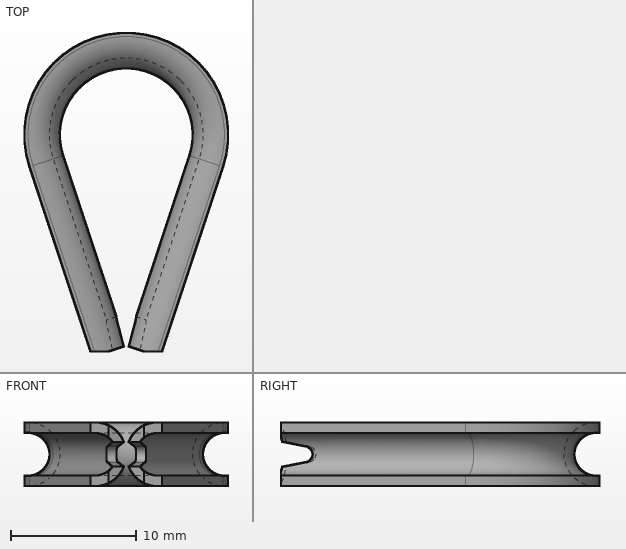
import cadquery as cq
import math

LENGTH = 25.5
BEND_RADIUS = 8.15
LEG_ANGLE = 18.3
HALF_HEIGHT = 2.55
GROOVE_RADIUS = 1.7
RIM_WIDTH = 0.3

FLAT_TIP_X = 1.43
NOTCH_DEPTH = 2.45
NOTCH_END_RADIUS = 0.65
NOTCH_MOUTH_HALF = 1.0

TIP_Y = BEND_RADIUS - LENGTH
LEAN = math.radians(LEG_ANGLE)
LEG_LENGTH = -TIP_Y * math.cos(LEAN) - FLAT_TIP_X * math.sin(LEAN)
OVERRUN = 2.05
CUT_SIZE = 4 * LENGTH


def channel_profile(plane):
    """C-shaped section; local X is the distance from the bend axis."""
    round_center = BEND_RADIUS - RIM_WIDTH
    return (
        cq.Workplane(plane)
        .moveTo(BEND_RADIUS, HALF_HEIGHT)
        .lineTo(round_center, HALF_HEIGHT)
        .threePointArc((round_center - HALF_HEIGHT, 0), (round_center, -HALF_HEIGHT))
        .lineTo(BEND_RADIUS, -HALF_HEIGHT)
        .lineTo(BEND_RADIUS, -GROOVE_RADIUS)
        .lineTo(round_center, -GROOVE_RADIUS)
        .threePointArc((round_center - GROOVE_RADIUS, 0), (round_center, GROOVE_RADIUS))
        .lineTo(BEND_RADIUS, GROOVE_RADIUS)
        .close()
    )


def make_bend():
    """Upper loop, running past the half circle by the leg angle on each side."""
    bend = channel_profile("XZ").revolve(180 + 2 * LEG_ANGLE, (0, 0), (0, 1))
    return bend.rotate((0, 0, 0), (0, 0, 1), -LEG_ANGLE)


def notch():
    """Tapered, round-ended notch for a leg that points along -Y."""
    arc_center_y = -LEG_LENGTH + NOTCH_DEPTH - NOTCH_END_RADIUS
    mouth_y = -LEG_LENGTH - OVERRUN
    slope = (NOTCH_MOUTH_HALF - NOTCH_END_RADIUS) / (NOTCH_DEPTH - NOTCH_END_RADIUS)
    mouth_half = NOTCH_MOUTH_HALF + slope * OVERRUN
    return (
        cq.Workplane("YZ")
        .moveTo(mouth_y, mouth_half)
        .lineTo(arc_center_y, NOTCH_END_RADIUS)
        .threePointArc((arc_center_y + NOTCH_END_RADIUS, 0), (arc_center_y, -NOTCH_END_RADIUS))
        .lineTo(mouth_y, -mouth_half)
        .close()
        .extrude(BEND_RADIUS)
    )


def make_leg():
    """Straight leg on +X, notched, cut square and trimmed to a flat tip."""
    leg = channel_profile("XZ").extrude(LEG_LENGTH + OVERRUN)
    square_cut = cq.Workplane().box(CUT_SIZE, CUT_SIZE, CUT_SIZE)
    square_cut = square_cut.translate((0, -LEG_LENGTH - CUT_SIZE / 2, 0))
    leg = leg.cut(notch()).cut(square_cut)
    leg = leg.rotate((0, 0, 0), (0, 0, 1), -LEG_ANGLE)
    flat_cut = cq.Workplane().box(CUT_SIZE, CUT_SIZE, CUT_SIZE)
    return leg.cut(flat_cut.translate((0, TIP_Y - CUT_SIZE / 2, 0)))


right_leg = make_leg()
result = make_bend().union(right_leg).union(right_leg.mirror("YZ"))